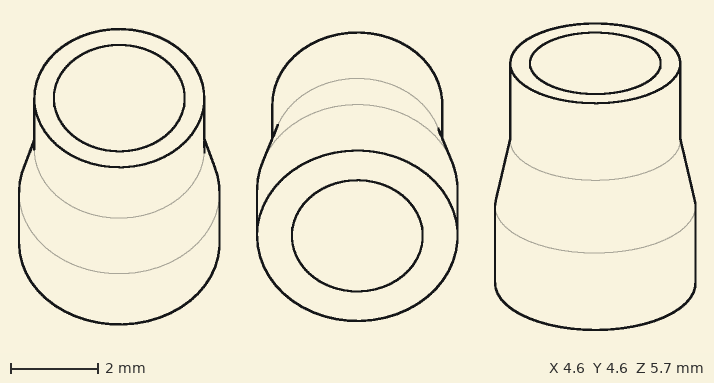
import cadquery as cq

large_diameter = 4.6
small_diameter = 3.9
bore_diameter = 3.0
large_length = 2.0
taper_length = 1.7
small_length = 2.0

taper_start = large_length
taper_end = taper_start + taper_length
total_height = taper_end + small_length


def reducer_body():
    """Solid of revolution about Z: wide cylinder, cone, narrow cylinder."""
    large_radius = large_diameter / 2
    small_radius = small_diameter / 2
    return (
        cq.Workplane("XZ")
        .moveTo(0, 0)
        .lineTo(large_radius, 0)
        .lineTo(large_radius, taper_start)
        .lineTo(small_radius, taper_end)
        .lineTo(small_radius, total_height)
        .lineTo(0, total_height)
        .close()
        .revolve(360, (0, 0), (0, 1))
    )


def through_bore():
    """Straight bore along the full height."""
    return cq.Workplane("XY").circle(bore_diameter / 2).extrude(total_height)


result = reducer_body().cut(through_bore())